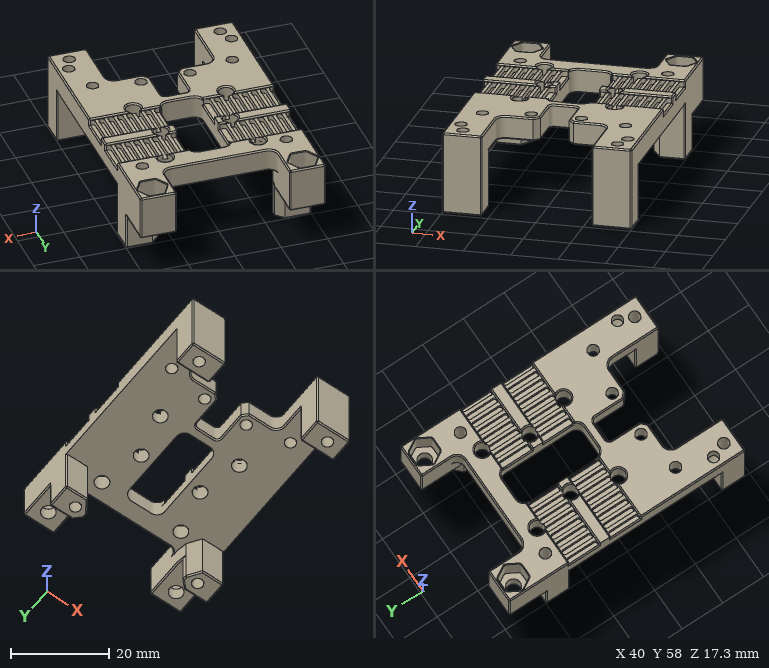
import cadquery as cq
import math

LENGTH = 58.0
WIDTH = 40.0
HEIGHT = 17.3
PLATE_THICKNESS = 5.0
PLATE_BOTTOM = HEIGHT - PLATE_THICKNESS
HALF_LENGTH = LENGTH / 2
HALF_WIDTH = WIDTH / 2
CHAMFER = 0.3
OVERCUT = 2.9
SIDES = (-1, 1)

NOTCH_FILLET = 2.0
REAR_NOTCH_HALF_WIDTH = 12.2
REAR_NOTCH_Y = 19.65
FRONT_NOTCH_HALF_WIDTH = 11.6
FRONT_NOTCH_Y = -15.65
SLOT_HALF_WIDTH = 3.0
SLOT_Y = -6.6
SLOT_FILLET = 1.0
SLOT_MOUTH_CHAMFER = 1.2
WINDOW_HALF_WIDTH = 4.45
WINDOW_LENGTH = 20.0
WINDOW_FILLET = 2.0
MIDDLE_Y = 5.5

FRONT_LEG_DEPTH = 5.8
ARM_HEIGHT = 9.55
ARM_FRONT_Y = 14.2
REAR_LEG_BACK_Y = 19.95
REAR_LEG_END_X = 14.6
REAR_LEG_INNER_X = 12.6
REAR_LEG_TAPER_LENGTH = 3.0
REAR_LEG_BACK_BEVEL = 1.7

BAR_WIDTH = 2.85
BAND_LENGTH = 7.3
RIB_DROP = 0.4
GROOVE_DEPTH = 1.45
GROOVE_WIDTH = 1.2
GROOVE_PITCH = 2.0
GROOVE_COUNT = 8
FIRST_GROOVE_X = 19.45
BAND_OFFSET = (BAR_WIDTH + BAND_LENGTH) / 2

BOLT_DIAMETER = 3.2
PIN_DIAMETER = 2.5
MOUNT_PITCH = 10.0
MOUNT_HOLES = [(10.05, MIDDLE_Y + MOUNT_PITCH), (7.5, MIDDLE_Y), (10.05, MIDDLE_Y - MOUNT_PITCH)]
PIN_HOLES = [(15.55, 17.15), (15.1, -15.15), (5.3, -13.2), (16.3, -26.15)]
BLIND_HOLE = (17.6, -22.8)
BLIND_DEPTH = 3.0
DRILL_POINT_ANGLE = 118
NUT_POCKET = (16.25, 25.45)
NUT_ACROSS_FLATS = 5.7
NUT_CORNER_RADIUS = 0.7
NUT_DEPTH = 6.0
NUT_CHAMFER = 0.2


def block(x_range, y_range, z_range):
    """Box spanning the given ranges."""
    size = [high - low for low, high in (x_range, y_range, z_range)]
    corner = (x_range[0], y_range[0], z_range[0])
    return cq.Workplane(origin=corner).box(*size, centered=False)


def both_sides(right_half):
    """A shape on the +X side together with its mirror image."""
    return right_half.union(right_half.mirror("YZ"))


def symmetric_block(half_width, y_range):
    """Box centred on X = 0, as thick as the plate."""
    return block((-half_width, half_width), y_range, (PLATE_BOTTOM, HEIGHT))


def slot_cutter():
    """Narrow front slot with a bevelled mouth and a rounded inner end."""
    mouth_half = SLOT_HALF_WIDTH + SLOT_MOUTH_CHAMFER
    points = [
        (-mouth_half, FRONT_NOTCH_Y),
        (-SLOT_HALF_WIDTH, FRONT_NOTCH_Y + SLOT_MOUTH_CHAMFER),
        (-SLOT_HALF_WIDTH, SLOT_Y),
        (SLOT_HALF_WIDTH, SLOT_Y),
        (SLOT_HALF_WIDTH, FRONT_NOTCH_Y + SLOT_MOUTH_CHAMFER),
        (mouth_half, FRONT_NOTCH_Y),
    ]
    slot = cq.Workplane(origin=(0, 0, PLATE_BOTTOM)).polyline(points).close().extrude(PLATE_THICKNESS)
    return slot.faces(">Y").edges("|Z").fillet(SLOT_FILLET)


def make_plate():
    """H-shaped plate with its window, all top edges and the notch bottom edges chamfered."""
    rear_notch = symmetric_block(REAR_NOTCH_HALF_WIDTH, (REAR_NOTCH_Y, HALF_LENGTH))
    front_notch = symmetric_block(FRONT_NOTCH_HALF_WIDTH, (-HALF_LENGTH, FRONT_NOTCH_Y))
    window_y = (MIDDLE_Y - WINDOW_LENGTH / 2, MIDDLE_Y + WINDOW_LENGTH / 2)
    window = symmetric_block(WINDOW_HALF_WIDTH, window_y).edges("|Z").fillet(WINDOW_FILLET)

    plate = symmetric_block(HALF_WIDTH, (-HALF_LENGTH, HALF_LENGTH))
    plate = plate.cut(rear_notch.faces("<Y").edges("|Z").fillet(NOTCH_FILLET))
    plate = plate.cut(front_notch.faces(">Y").edges("|Z").fillet(NOTCH_FILLET))
    plate = plate.cut(slot_cutter())
    plate = plate.faces("<Y or >Y").edges("|Z").chamfer(CHAMFER)

    inner_half = HALF_WIDTH - 2 * CHAMFER
    notch_edges = cq.selectors.BoxSelector(
        (-inner_half, -HALF_LENGTH + CHAMFER, PLATE_BOTTOM - CHAMFER),
        (inner_half, HALF_LENGTH - CHAMFER, PLATE_BOTTOM + CHAMFER),
    )
    plate = plate.edges(notch_edges).chamfer(CHAMFER)
    return plate.cut(window).faces(">Z").edges().chamfer(CHAMFER)


def make_supports():
    """Front leg, rear arm block and tapered rear leg on the +X side."""
    top = HEIGHT - 2 * CHAMFER
    front_leg = block(
        (FRONT_NOTCH_HALF_WIDTH, HALF_WIDTH), (-HALF_LENGTH, -HALF_LENGTH + FRONT_LEG_DEPTH), (0, top)
    )
    front_leg = front_leg.edges("|Z or <Z").chamfer(CHAMFER)

    arm_bottom = HEIGHT - ARM_HEIGHT
    front_flank = [
        (HALF_WIDTH, ARM_FRONT_Y),
        (REAR_LEG_END_X, ARM_FRONT_Y),
        (REAR_LEG_INNER_X, ARM_FRONT_Y + REAR_LEG_TAPER_LENGTH),
    ]
    arm_end = [
        (REAR_NOTCH_HALF_WIDTH, REAR_NOTCH_Y),
        (REAR_NOTCH_HALF_WIDTH, HALF_LENGTH),
        (HALF_WIDTH, HALF_LENGTH),
    ]
    arm = cq.Workplane(origin=(0, 0, arm_bottom)).polyline(front_flank + arm_end).close()
    arm = arm.extrude(top - arm_bottom)
    arm = arm.edges("(|Z and (>Y or (<Y and >X))) or <Z").chamfer(CHAMFER)

    back_flank = [
        (REAR_LEG_INNER_X, REAR_LEG_BACK_Y - REAR_LEG_BACK_BEVEL),
        (REAR_LEG_INNER_X + REAR_LEG_BACK_BEVEL, REAR_LEG_BACK_Y),
        (HALF_WIDTH, REAR_LEG_BACK_Y),
    ]
    rear_leg = cq.Workplane().polyline(front_flank + back_flank).close().extrude(top)
    rear_leg = rear_leg.edges("(|Z and >X) or <Z").chamfer(CHAMFER)
    return front_leg.union(arm).union(rear_leg)


def make_bars():
    """Raised bars, square at the window and at the -X side but chamfered at the +X side."""
    half = BAR_WIDTH / 2 + 2 * CHAMFER
    y_range = (MIDDLE_Y - half, MIDDLE_Y + half)
    z_range = (PLATE_BOTTOM, HEIGHT)
    left_bar = block((-HALF_WIDTH, -WINDOW_HALF_WIDTH), y_range, z_range)
    right_bar = block((WINDOW_HALF_WIDTH, HALF_WIDTH - 2 * CHAMFER), y_range, z_range)
    return left_bar.union(right_bar)


def flared_mouth(face_x, direction, center_y):
    """Cutter bevelling the open end of a band, narrowing from the side face inward."""
    bottom = HEIGHT - GROOVE_DEPTH - CHAMFER
    mouth_height = GROOVE_DEPTH + CHAMFER + OVERCUT
    mouth = (
        cq.Workplane("YZ", origin=(0, center_y, bottom + mouth_height / 2))
        .rect(BAND_LENGTH + 2 * CHAMFER, mouth_height)
        .extrude(direction * CHAMFER, taper=45)
    )
    return mouth.translate((face_x, 0, 0))


def band_cutter(center_y):
    """Cutter for one ribbed band on the +X side."""
    y_range = (center_y - BAND_LENGTH / 2, center_y + BAND_LENGTH / 2)
    floor = HEIGHT - GROOVE_DEPTH
    center_x = (WINDOW_HALF_WIDTH + HALF_WIDTH) / 2
    band_width = HALF_WIDTH - WINDOW_HALF_WIDTH

    cutter = block((WINDOW_HALF_WIDTH, HALF_WIDTH), y_range, (HEIGHT - RIB_DROP, HEIGHT))
    rim = (
        cq.Workplane(origin=(center_x, center_y, HEIGHT))
        .rect(band_width + 2 * CHAMFER, BAND_LENGTH + 2 * CHAMFER)
        .extrude(-CHAMFER, taper=45)
    )
    cutter = cutter.union(rim)

    for index in range(GROOVE_COUNT):
        groove_x = FIRST_GROOVE_X - index * GROOVE_PITCH
        groove = (
            cq.Workplane(origin=(groove_x, center_y, floor))
            .slot2D(BAND_LENGTH, GROOVE_WIDTH, 90)
            .extrude(GROOVE_DEPTH)
        )
        cutter = cutter.union(groove)

    last_groove_x = FIRST_GROOVE_X - (GROOVE_COUNT - 1) * GROOVE_PITCH
    for x_range in ((FIRST_GROOVE_X, HALF_WIDTH), (WINDOW_HALF_WIDTH, last_groove_x)):
        cutter = cutter.union(block(x_range, y_range, (floor, HEIGHT)))
    cutter = cutter.union(flared_mouth(HALF_WIDTH, -1, center_y))
    return cutter.union(flared_mouth(WINDOW_HALF_WIDTH, 1, center_y))


def through_hole(center, diameter):
    """Vertical cutter through the full height."""
    return cq.Workplane(origin=(*center, 0)).circle(diameter / 2).extrude(HEIGHT)


def countersink(center):
    """Small bevel around a mounting hole at the top face."""
    return (
        cq.Workplane(origin=(*center, HEIGHT))
        .circle(BOLT_DIAMETER / 2 + CHAMFER)
        .extrude(-CHAMFER, taper=45)
    )


def blind_hole():
    """Drilled hole with a conical end."""
    radius = PIN_DIAMETER / 2
    point_depth = radius / math.tan(math.radians(DRILL_POINT_ANGLE / 2))
    profile = [(0, 0), (radius, 0), (radius, -BLIND_DEPTH), (0, -BLIND_DEPTH - point_depth)]
    drill = cq.Workplane("XZ").polyline(profile).close().revolve(360, (0, 0), (0, 1))
    return drill.translate((*BLIND_HOLE, HEIGHT))


def nut_pocket():
    """Hexagonal pocket with eased corners and rim, and its bolt hole."""
    across_corners = NUT_ACROSS_FLATS / math.cos(math.pi / 6)
    pocket = cq.Workplane(origin=(*NUT_POCKET, HEIGHT)).polygon(6, across_corners).extrude(-NUT_DEPTH)
    pocket = pocket.edges("|Z").fillet(NUT_CORNER_RADIUS)
    rim = pocket.faces(">Z").wires().toPending().workplane().offset2D(NUT_CHAMFER)
    rim = rim.extrude(-NUT_CHAMFER, taper=45)
    return pocket.union(rim).union(through_hole(NUT_POCKET, BOLT_DIAMETER))


result = make_plate().union(both_sides(make_supports())).union(make_bars())
for side in SIDES:
    result = result.cut(both_sides(band_cutter(MIDDLE_Y + side * BAND_OFFSET)))
for hole in PIN_HOLES:
    result = result.cut(both_sides(through_hole(hole, PIN_DIAMETER)))
for hole in MOUNT_HOLES:
    result = result.cut(both_sides(through_hole(hole, BOLT_DIAMETER).union(countersink(hole))))
result = result.cut(both_sides(blind_hole()))
result = result.cut(both_sides(nut_pocket()))